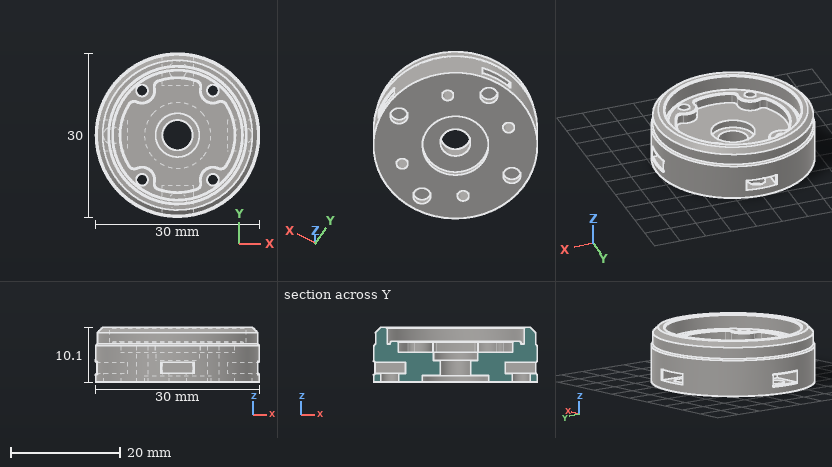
import cadquery as cq
import math

diameter = 30
height = 10.05
collar_diameter = 29.4
shoulder_z = 7.0
shoulder_width = (diameter - collar_diameter) / 2
top_chamfer = 1.0
edge_break = 0.2

recess_diameter = 25.0
platform_diameter = 24
platform_z = 7.5
groove_depth = 0.5
groove_floor_z = platform_z - groove_depth

cavity_radius = 10.4
cavity_floor_z = 5.5
lobe_radius = 2.4
cavity_corner_radius = 1.0
screw_hole_diameter = 2.1
screw_x = 6.48
screw_y = 8.15
screw_points = [(sx * screw_x, sy * screw_y) for sx in (-1, 1) for sy in (-1, 1)]

center_hole_diameter = 5.5
counterbore_diameter = 8.0
counterbore_floor_z = 4.0
bottom_recess_diameter = 12.1
bottom_recess_depth = 1.2

slot_width = 5.7
slot_height = 2.0
slot_floor_z = 1.6
bolt_circle_radius = 12
bolt_hole_diameter = 3.2
slot_end_radius = bolt_circle_radius - slot_width / 2
x_slot_angles = [0, 180]
y_slot_angles = [90, 270]


def cylinder(cylinder_diameter, bottom, top):
    """Upright cylinder on the central axis."""
    return cq.Workplane("XY").workplane(offset=bottom).circle(cylinder_diameter / 2).extrude(top - bottom)


def outer_cup():
    """Outer body, hollowed down to the cavity floor, with a stepped rim."""
    outline = [
        (0, 0),
        (diameter / 2, 0),
        (diameter / 2, shoulder_z - shoulder_width),
        (collar_diameter / 2, shoulder_z),
        (collar_diameter / 2, height - top_chamfer),
        (collar_diameter / 2 - top_chamfer, height),
        (recess_diameter / 2 + edge_break, height),
        (recess_diameter / 2, height - edge_break),
        (recess_diameter / 2, groove_floor_z),
        (platform_diameter / 2, groove_floor_z),
        (platform_diameter / 2, cavity_floor_z),
        (0, cavity_floor_z),
    ]
    return cq.Workplane("XZ").polyline(outline).close().revolve(360, (0, 0), (0, 1))


def platform():
    """Raised ring with a lobe around each screw hole and its top edges chamfered."""
    lobes = (
        cq.Workplane("XY")
        .workplane(offset=cavity_floor_z)
        .pushPoints(screw_points)
        .circle(lobe_radius)
        .extrude(platform_z - cavity_floor_z)
    )
    cavity = cylinder(2 * cavity_radius, cavity_floor_z, platform_z).cut(lobes)
    cavity = cavity.edges("|Z").fillet(cavity_corner_radius)
    disc = cylinder(platform_diameter, cavity_floor_z, platform_z)
    return disc.cut(cavity).faces(">Z").chamfer(edge_break)


def center_hole():
    counterbore = cylinder(counterbore_diameter, counterbore_floor_z, cavity_floor_z)
    bottom_recess = cylinder(bottom_recess_diameter, 0, bottom_recess_depth)
    return cylinder(center_hole_diameter, 0, cavity_floor_z).union(counterbore).union(bottom_recess)


def screw_holes():
    return cq.Workplane("XY").pushPoints(screw_points).circle(screw_hole_diameter / 2).extrude(platform_z)


def side_slot():
    """Slot in the +X side, with a bolt hole through its floor."""
    slot = (
        cq.Workplane("XY", origin=(slot_end_radius, 0, slot_floor_z))
        .rect(diameter / 2, slot_width, centered=(False, True))
        .extrude(slot_height)
    )
    bolt_hole = (
        cq.Workplane("XY")
        .center(bolt_circle_radius, 0)
        .circle(bolt_hole_diameter / 2)
        .extrude(slot_floor_z)
    )
    return slot.union(bolt_hole)


def top_bottom_flare():
    """Chamfer along the top and bottom edges of the +X slot, following the round wall."""
    radius = diameter / 2
    slot_top_z = slot_floor_z + slot_height
    profile = [
        (radius - edge_break, slot_floor_z),
        (radius, slot_floor_z - edge_break),
        (radius, slot_top_z + edge_break),
        (radius - edge_break, slot_top_z),
    ]
    ring = cq.Workplane("XZ").polyline(profile).close().revolve(360, (0, 0), (0, 1))
    sector = cq.Workplane("XY").box(diameter, slot_width, height, centered=(False, True, False))
    return ring.intersect(sector)


def side_edge_flare():
    """Chamfer along the two upright edges of the +X slot."""
    half_width = slot_width / 2
    edge_x = math.sqrt((diameter / 2) ** 2 - half_width**2)
    start_x = edge_x - edge_break
    reach = diameter / 2 - start_x
    profile = [
        (start_x, -half_width),
        (start_x + reach, -half_width - reach),
        (start_x + reach, half_width + reach),
        (start_x, half_width),
    ]
    return cq.Workplane("XY").workplane(offset=slot_floor_z).polyline(profile).close().extrude(slot_height)


def turned_about_axis(tool, angle):
    return tool.rotate((0, 0, 0), (0, 0, 1), angle)


result = outer_cup().union(platform()).cut(center_hole()).cut(screw_holes())
for angle in x_slot_angles:
    result = result.cut(turned_about_axis(side_slot().union(top_bottom_flare()), angle))
for angle in y_slot_angles:
    result = result.cut(turned_about_axis(side_slot().union(side_edge_flare()), angle))